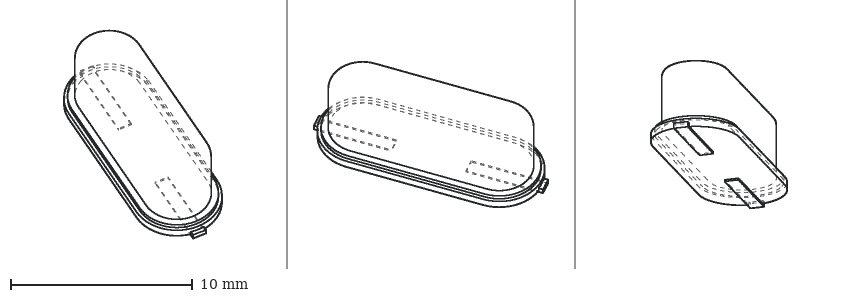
import cadquery as cq

total_length = 13.5
total_height = 4.3

straight_length = 8.05
base_width = 5.0
step_width = 4.6
can_width = 3.8

base_bottom = 0.1
base_top = 0.57
step_top = 0.8
can_edge_radius = 0.4

terminal_length = 4.55
terminal_width = 0.8
terminal_thickness = 0.3


def stadium(width, bottom, top):
    """Upright solid with two straight sides and full-round ends."""
    return (
        cq.Workplane("XY")
        .workplane(offset=bottom)
        .slot2D(straight_length + width, width)
        .extrude(top - bottom)
    )


def make_can():
    """Tall metal cap with a rounded top edge."""
    can = stadium(can_width, step_top, total_height)
    return can.faces(">Z").edges().fillet(can_edge_radius)


def make_terminal(side):
    """Flat terminal, partly sunk into the base; side is -1 or +1 along X."""
    center_x = side * (total_length - terminal_length) / 2
    return (
        cq.Workplane("XY")
        .center(center_x, 0)
        .rect(terminal_length, terminal_width)
        .extrude(terminal_thickness)
    )


base = stadium(base_width, base_bottom, base_top)
step = stadium(step_width, base_top, step_top)

result = base.union(step).union(make_can())
for side in (-1, 1):
    result = result.union(make_terminal(side))